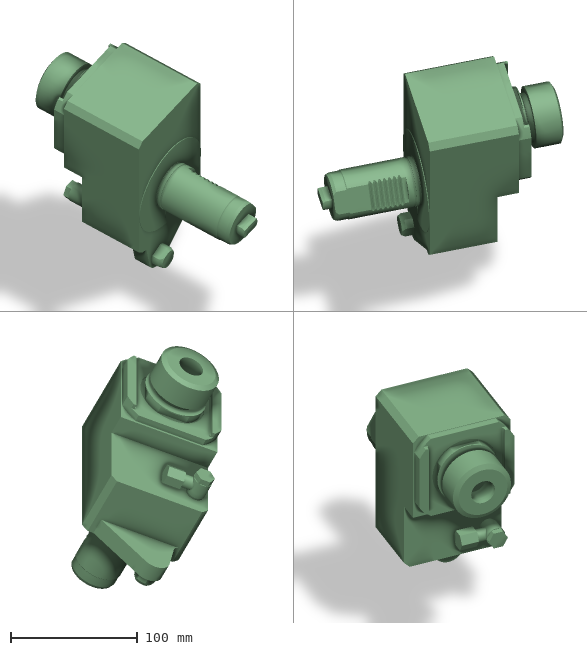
import cadquery as cq
import math


housing_width = 84.0
housing_top = 87.0
housing_bottom = -47.8
housing_front = -72.6
foot_front = -55.1
step_height = 11.2
housing_chamfer = 5.0

spindle_height = 49.9
plate_front = -78.6
plate_half_width = 40.8
plate_half_height = 36.8
plate_corner_radius = 47.0
rail_front = -83.0
rail_inner_y = 33.0
rail_foot_inner_y = 32.0
rail_foot_thickness = 1.0
rail_half_height = 30.8

recess_radius = 27.7
recess_depth = 1.0
collar_radius = 26.2
collar_flat_offset = 23.1
disc_back = -84.2
disc_front = -85.2
journal_radius = 19.3
neck_back = -87.0
neck_radius = 20.0
nut_back = -91.3
nut_front = -114.2
nut_radius = 25
nut_face_radius = 21.0
nut_chamfer_length = 2.1
bore_radius = 10.2
bore_depth = 17.3

flange_radius = 41.6
flange_thickness = 0.5
seal_height = -29.9
seal_radius = 7.3
seal_end = 1.2
shank_radius = 20.0
shank_relief_radius = 19.5
relief_spans = [(1.0, 2.5), (4.8, 6.5)]
tail_start = 59.7
tail_radius = 19.5
tail_end = 70.7
tail_chamfer_length = 2.7
tail_chamfer_depth = 1.2
shoulder_chamfer = 0.5

rack_tilt = 30
rack_flat_start = 11.2
rack_flat_offset = 17.0
groove_count = 7
first_groove_x = 16.4
last_groove_x = 40.3
groove_pitch = (last_groove_x - first_groove_x) / (groove_count - 1)
groove_width = 3.5
groove_root_width = 0.8
groove_depth = 1.5

tang_end = 78.5
tang_radius = 9.0
tang_thickness = 10.0
tang_chamfer_length = 2.5
tang_chamfer_depth = 0.8

lug_thickness = 14.6
lug_root_y = 32.0
lug_corner_y = -23.5
lug_corner_z = -93.5
lug_tip_radius = 13.0
lug_root_radius = 5.0
lug_foot_y = 36.6
lug_overlap = 5.8
pin_y = -15.8
pin_z = -69.4
pin_radius = 9.5
pin_length = 9.8
pin_flat_offset = 7.5
pin_turn = 50
pin_chamfer_length = 3.0
pin_chamfer_depth = 1.5

elbow_y = -30.5
elbow_z = -28.0
elbow_radius = 7.9
elbow_base_radius = 7.3
elbow_base_front = -57.0
elbow_front = -70.9
elbow_head_front = -75.7
pipe_x = -63.5
pipe_radius = 5.4
pipe_nut_start = -15.5
pipe_nut_end = -0.8
hex_across_flats = 14.0
hex_across_corners = hex_across_flats / math.cos(math.radians(30))


def rod(x_start, x_end, radius, y=0, z=0):
    """Cylinder parallel to X between two X positions."""
    return cq.Workplane("YZ", origin=(x_start, y, z)).circle(radius).extrude(x_end - x_start)


def block(x_start, x_end, width, height, y=0, z=0):
    """Box between two X positions, centred on the given Y and Z."""
    return cq.Workplane("YZ", origin=(x_start, y, z)).rect(width, height).extrude(x_end - x_start)


def build_housing():
    height = housing_top - housing_bottom
    middle = (housing_top + housing_bottom) / 2
    body = block(housing_front, 0, housing_width, height, z=middle)
    body = body.edges("|X").chamfer(housing_chamfer)
    undercut = cq.Workplane("XY").box(
        foot_front - housing_front, housing_width, height, centered=(False, True, False)
    )
    return body.cut(undercut.translate((housing_front, 0, step_height - height)))


def build_rail_layer(x_start, x_end, inner_y, side):
    """One thickness of a side rail, from its inner edge out to the edge of the plate."""
    width = plate_half_width - inner_y
    middle_y = side * (plate_half_width + inner_y) / 2
    return block(x_start, x_end, width, 2 * rail_half_height, middle_y, spindle_height)


def build_front_plate():
    width = 2 * plate_half_width
    foot_face = plate_front - rail_foot_thickness
    plate = block(plate_front, housing_front, width, 2 * plate_half_height, z=spindle_height)
    for side in (-1, 1):
        plate = plate.union(build_rail_layer(rail_front, plate_front, rail_inner_y, side))
        plate = plate.union(build_rail_layer(foot_face, plate_front, rail_foot_inner_y, side))
    rounding = rod(rail_front, housing_front, plate_corner_radius, z=spindle_height)
    recess = rod(plate_front, plate_front + recess_depth, recess_radius, z=spindle_height)
    return plate.intersect(rounding).cut(recess)


def build_spindle():
    flats = 2 * collar_flat_offset
    collar = rod(disc_back, housing_front, collar_radius, z=spindle_height)
    collar = collar.intersect(block(disc_back, housing_front, flats, flats, z=spindle_height))
    disc = rod(disc_front, disc_back, collar_radius, z=spindle_height)
    journal = rod(neck_back, disc_front, journal_radius, z=spindle_height)
    neck = rod(nut_back, neck_back, neck_radius, z=spindle_height)
    nut = rod(nut_front, nut_back, nut_radius, z=spindle_height)
    nut = nut.faces("<X").chamfer(nut_chamfer_length, nut_radius - nut_face_radius)
    bore = rod(nut_front, nut_front + bore_depth, bore_radius, z=spindle_height)
    return collar.union(disc).union(journal).union(neck).union(nut).cut(bore)


def build_rack_cutter():
    """Everything to remove beyond the clamping flat, built facing +Y and then tilted."""
    reach = 2 * shank_radius
    half_width = groove_width / 2
    half_root = groove_root_width / 2
    root_y = rack_flat_offset - groove_depth
    cutter = block(rack_flat_start, tang_end, reach, 2 * reach, y=rack_flat_offset + reach / 2)
    for index in range(groove_count):
        x = first_groove_x + index * groove_pitch
        groove = (
            cq.Workplane("XY")
            .moveTo(x - half_width, rack_flat_offset)
            .lineTo(x - half_root, root_y)
            .lineTo(x + half_root, root_y)
            .lineTo(x + half_width, rack_flat_offset)
            .close()
            .extrude(reach, both=True)
        )
        cutter = cutter.union(groove)
    return cutter.rotate((0, 0, 0), (1, 0, 0), rack_tilt)


def build_shank():
    shank = rod(0, tail_start, shank_radius).faces(">X").chamfer(shoulder_chamfer)
    for start, end in relief_spans:
        ring = rod(start, end, shank_radius).cut(rod(start, end, shank_relief_radius))
        shank = shank.cut(ring)
    tail = rod(tail_start, tail_end, tail_radius)
    tail = tail.faces(">X").chamfer(tail_chamfer_length, tail_chamfer_depth)
    shank = shank.union(tail).cut(build_rack_cutter())
    flange = rod(0, flange_thickness, flange_radius)
    seal = rod(0, seal_end, seal_radius, z=seal_height)
    return shank.union(flange).union(seal)


def build_tang():
    """Flat tongue with rounded sides, tapering at its free end."""
    half = tang_thickness / 2
    taper_start = tang_end - tang_chamfer_length
    end_half = half - tang_chamfer_depth
    tongue = (
        cq.Workplane("XZ")
        .polyline(
            [
                (tail_end, -half),
                (taper_start, -half),
                (tang_end, -end_half),
                (tang_end, end_half),
                (taper_start, half),
                (tail_end, half),
            ]
        )
        .close()
        .extrude(tang_radius, both=True)
    )
    return tongue.intersect(rod(tail_end, tang_end, tang_radius))


def build_lug():
    outline = [
        (lug_foot_y, housing_bottom + lug_overlap),
        (lug_foot_y, housing_bottom),
        (lug_root_y, housing_bottom),
        (lug_corner_y, lug_corner_z),
        (-lug_root_y, housing_bottom),
        (-lug_foot_y, housing_bottom),
        (-lug_foot_y, housing_bottom + lug_overlap),
    ]
    lug = cq.Workplane("YZ").polyline(outline).close().extrude(-lug_thickness)
    lug = lug.edges("|X and <Z").fillet(lug_tip_radius)
    middle = -lug_thickness / 2
    root = cq.selectors.NearestToPointSelector((middle, -lug_root_y, housing_bottom))
    return lug.edges(root).fillet(lug_root_radius)


def build_stop_pin():
    """Round pin with three equally spaced flats."""
    pin = rod(0, pin_length, pin_radius)
    pin = pin.faces(">X").chamfer(pin_chamfer_length, pin_chamfer_depth)
    triangle = cq.Workplane("YZ").polygon(3, 4 * pin_flat_offset).extrude(pin_length)
    triangle = triangle.rotate((0, 0, 0), (1, 0, 0), pin_turn)
    return pin.intersect(triangle).translate((0, pin_y, pin_z))


def build_coolant_elbow():
    base = rod(elbow_base_front, foot_front, elbow_base_radius, elbow_y, elbow_z)
    barrel = rod(elbow_front, elbow_base_front, elbow_radius, elbow_y, elbow_z)
    head = (
        cq.Workplane("YZ", origin=(elbow_head_front, elbow_y, elbow_z))
        .polygon(6, hex_across_corners)
        .extrude(elbow_front - elbow_head_front)
    )
    pipe = (
        cq.Workplane("XZ", origin=(pipe_x, pipe_nut_start, elbow_z))
        .circle(pipe_radius)
        .extrude(pipe_nut_start - elbow_y)
    )
    pipe_nut = (
        cq.Workplane("XZ", origin=(pipe_x, pipe_nut_end, elbow_z))
        .polygon(6, hex_across_corners)
        .extrude(pipe_nut_end - pipe_nut_start)
    )
    return base.union(barrel).union(head).union(pipe).union(pipe_nut)


result = (
    build_housing()
    .union(build_front_plate())
    .union(build_spindle())
    .union(build_shank())
    .union(build_tang())
    .union(build_lug())
    .union(build_stop_pin())
    .union(build_coolant_elbow())
)